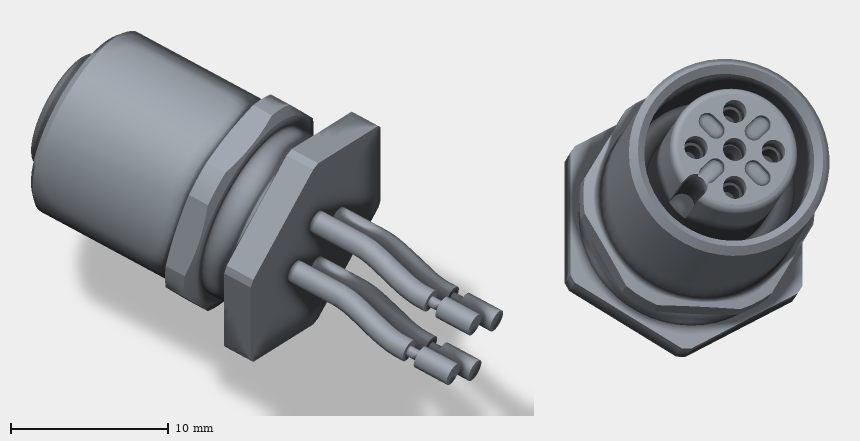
import cadquery as cq
import math

shell_front = 1.45
nut_front = 12.5
nut_back = 14.45
seal_front = 16.62
flange_front = 17.2
flange_back = 19.23
bend_start = 22.57
bend_end = 28.13
jacket_end = 28.77
tip_start = 29.65
overall_length = 32.15

shell_radius = 13.0 / 2
bore_radius = 11.0 / 2
neck_radius = 12.0 / 2
lip_radius = (shell_radius + bore_radius) / 2
lip_chamfer = shell_radius - lip_radius
socket_floor = 9.0

nut_root_round = 0.25
nut_across_flats = 14.0
nut_corner_diameter = 14.98
nut_end_radius = shell_radius + nut_root_round
nut_front_chamfer = 0.15
nut_back_chamfer = 0.32
flange_across_flats = 15.0
flange_corner_diameter = 17.0

seal_outer_radius = 6.98
seal_cord_radius = 0.5

insert_radius = 4.1
insert_round = 0.48
contact_offset = 2.5
contact_bore_diameter = 1.5
contact_bore_depth = 1.6
contact_hole_diameter = 1.15
contact_hole_depth = 3.2
centre_hole_diameter = 0.7
centre_cone_diameter = 1.35
pocket_width = 1.15
pocket_inner_end = 1.15
pocket_outer_end = 3.05
pocket_depth = 0.42
key_width = 1.5
key_offset = 3.55
key_depth = 4.82

wire_diameter = 1.5
core_diameter = 0.7
bend_shift = 1.2
bend_softness = 1.6

contact_places = [
    (contact_offset, 0),
    (0, contact_offset),
    (-contact_offset, 0),
    (0, -contact_offset),
]


def section_at(x):
    """Workplane across the axis at station x, with local axes Y and Z."""
    return cq.Workplane("YZ", origin=(x, 0, 0))


def revolve_profile(profile):
    """Turn a closed (X, radius) outline around the connector axis."""
    return profile.close().revolve(360, (0, 0), (1, 0))


def hexagon(front, back, across_flats, corner_diameter, turn):
    """Hexagonal plate with its corners trimmed to a circle."""
    corner_to_corner = across_flats / math.cos(math.pi / 6)
    length = back - front
    plate = section_at(front).polygon(6, corner_to_corner).extrude(length)
    plate = plate.rotate((0, 0, 0), (1, 0, 0), turn)
    return plate.intersect(section_at(front).circle(corner_diameter / 2).extrude(length))


def make_shell():
    """Sleeve with an open annular socket, plus the neck behind the nut."""
    lip_end = shell_front + lip_chamfer
    outline = (
        cq.Workplane("XY")
        .moveTo(socket_floor, 0)
        .lineTo(socket_floor, bore_radius)
        .lineTo(lip_end, bore_radius)
        .lineTo(shell_front, lip_radius)
        .lineTo(lip_end, shell_radius)
        .lineTo(nut_front - nut_root_round, shell_radius)
        .radiusArc((nut_front, nut_end_radius), -nut_root_round)
        .lineTo(nut_front, neck_radius)
        .lineTo(flange_front, neck_radius)
        .lineTo(flange_front, 0)
    )
    return revolve_profile(outline)


def make_nut():
    """Hexagon with coned ends and corners trimmed to a cylinder."""
    nut = hexagon(nut_front, nut_back, nut_across_flats, nut_corner_diameter, 0)
    corner_radius = nut_corner_diameter / 2
    envelope = (
        cq.Workplane("XY")
        .moveTo(nut_front, 0)
        .lineTo(nut_front, nut_end_radius)
        .lineTo(nut_front + nut_front_chamfer, corner_radius)
        .lineTo(nut_back - nut_back_chamfer, corner_radius)
        .lineTo(nut_back, nut_end_radius)
        .lineTo(nut_back, 0)
    )
    return nut.intersect(revolve_profile(envelope))


def make_ring(x, ring_radius, cord_radius):
    """Round-section ring about the axis, centred at station x."""
    cord = cq.Workplane("XY").center(x, ring_radius).circle(cord_radius)
    return cord.revolve(360, (0, -ring_radius), (1, -ring_radius))


def make_insert():
    """Round plug with contact holes, shallow pockets and a coding keyway."""
    plug = section_at(0).circle(insert_radius).extrude(socket_floor)
    plug = plug.faces("<X").edges().fillet(insert_round)

    bores = section_at(0).pushPoints(contact_places + [(0, 0)])
    plug = plug.cut(bores.circle(contact_bore_diameter / 2).extrude(contact_bore_depth))
    holes = section_at(0).pushPoints(contact_places)
    plug = plug.cut(holes.circle(contact_hole_diameter / 2).extrude(contact_hole_depth))

    cone = (
        section_at(contact_bore_depth)
        .circle(centre_cone_diameter / 2)
        .workplane(offset=centre_cone_diameter - centre_hole_diameter)
        .circle(centre_hole_diameter / 2)
        .loft()
    )
    centre_hole = section_at(0).circle(centre_hole_diameter / 2).extrude(contact_hole_depth)
    plug = plug.cut(cone).cut(centre_hole)

    pocket_centre = (pocket_inner_end + pocket_outer_end) / 2
    pocket_length = pocket_outer_end - pocket_inner_end
    pocket = section_at(0).center(pocket_centre, 0).slot2D(pocket_length, pocket_width)
    pocket = pocket.extrude(pocket_depth)
    for angle in (45, 135, 225, 315):
        plug = plug.cut(pocket.rotate((0, 0, 0), (1, 0, 0), angle))

    key_round = section_at(0).center(key_offset, 0).circle(key_width / 2).extrude(key_depth)
    key_mouth = section_at(0).center(key_offset + key_width / 2, 0).rect(key_width, key_width)
    keyway = key_round.union(key_mouth.extrude(key_depth))
    return plug.cut(keyway.rotate((0, 0, 0), (1, 0, 0), -45))


def make_wire(y, z):
    """Jacketed wire with a sideways S-bend, a bare gap and a tip."""
    end_y = y - bend_shift
    bend_points = [
        (bend_start, y),
        (bend_start + bend_softness, y),
        (bend_end - bend_softness, end_y),
        (bend_end, end_y),
    ]
    path = (
        cq.Workplane("XY", origin=(0, 0, z))
        .moveTo(flange_back, y)
        .lineTo(bend_start, y)
        .bezier(bend_points)
        .lineTo(jacket_end, end_y)
    )
    jacket = section_at(flange_back).center(y, z).circle(wire_diameter / 2).sweep(path)
    core = section_at(jacket_end).center(end_y, z).circle(core_diameter / 2)
    tip = section_at(tip_start).center(end_y, z).circle(wire_diameter / 2)
    wire = jacket.union(core.extrude(tip_start - jacket_end))
    return wire.union(tip.extrude(overall_length - tip_start))


flange = hexagon(flange_front, flange_back, flange_across_flats, flange_corner_diameter, 30)

socket_ring = make_ring(
    socket_floor,
    (bore_radius + insert_radius) / 2,
    (bore_radius - insert_radius) / 2,
)
seal = make_ring(
    seal_front + seal_cord_radius,
    seal_outer_radius - seal_cord_radius,
    seal_cord_radius,
)

result = make_shell().union(make_nut()).union(flange).union(seal)
result = result.union(make_insert()).union(socket_ring)
for wire_y, wire_z in contact_places:
    result = result.union(make_wire(wire_y, wire_z))